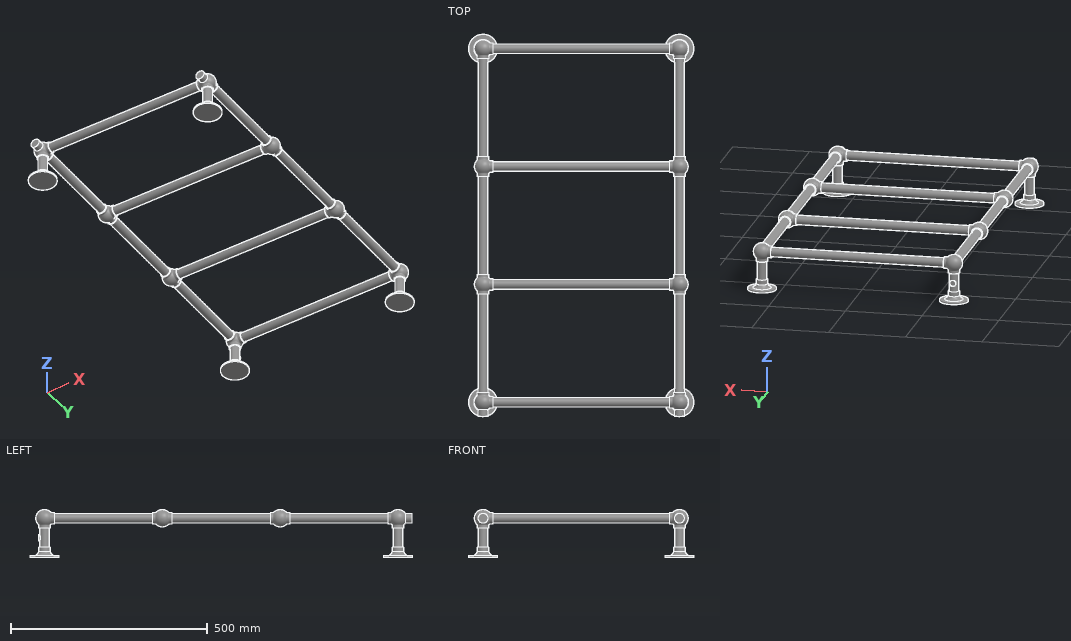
import cadquery as cq

FRAME_WIDTH = 500.0
RUNG_SPACING = 300.0
RUNG_COUNT = 4
AXIS_HEIGHT = 100.0

TUBE_RADIUS = 12.5
BALL_RADIUS = 22.5
COLLAR_RADIUS = 15.0
NECK_FILLET = 2.5
COLLAR_REACH = 25.0
STUB_REACH = 36.0

FLANGE_RADIUS = 37.0
FLANGE_THICKNESS = 5.0
FLANGE_EDGE_FILLET = 1.5
FLARE_FOOT_RADIUS = 23.5
FLARE_TOP = 15.0
FLARE_HOLLOW = 0.4
SOCKET_TOP = 27.0
SOCKET_FILLET = 2.0

BOSS_RADIUS = 8.0
BOSS_REACH = 15.0
BOSS_HEIGHT = 50.0

rail_xs = [-FRAME_WIDTH / 2, FRAME_WIDTH / 2]
rung_ys = [(i - (RUNG_COUNT - 1) / 2) * RUNG_SPACING for i in range(RUNG_COUNT)]
front_y = rung_ys[0]
back_y = rung_ys[-1]

LEFT_TO_RIGHT = cq.Vector(1, 0, 0)
FRONT_TO_BACK = cq.Vector(0, 1, 0)
UP = cq.Vector(0, 0, 1)


def rod(start, direction, length, radius):
    """Solid round bar from a start point along a unit direction."""
    return cq.Solid.makeCylinder(radius, length, start, direction)


def rails():
    length = back_y - front_y
    return [rod(cq.Vector(x, front_y, AXIS_HEIGHT), FRONT_TO_BACK, length, TUBE_RADIUS) for x in rail_xs]


def rungs():
    left_x = rail_xs[0]
    return [rod(cq.Vector(left_x, y, AXIS_HEIGHT), LEFT_TO_RIGHT, FRAME_WIDTH, TUBE_RADIUS) for y in rung_ys]


def joint(x, y):
    """Ball with a collar, blended in by a fillet, for every tube that it holds."""
    directions = [LEFT_TO_RIGHT if x < 0 else -LEFT_TO_RIGHT]
    if y > front_y:
        directions.append(-FRONT_TO_BACK)
    if y < back_y:
        directions.append(FRONT_TO_BACK)
    if y in (front_y, back_y):
        directions.append(-UP)

    body = cq.Workplane("XY").sphere(BALL_RADIUS)
    for direction in directions:
        body = body.union(cq.Workplane(rod(cq.Vector(), direction, COLLAR_REACH, COLLAR_RADIUS)))
    body = body.faces("%SPHERE").edges(cq.selectors.RadiusNthSelector(0)).fillet(NECK_FILLET)
    return body.val().translate(cq.Vector(x, y, AXIS_HEIGHT))


def foot(x, y):
    """Round flange with a concave flare rising to a leg socket."""
    flare_mid = (
        COLLAR_RADIUS + FLARE_HOLLOW * (FLARE_FOOT_RADIUS - COLLAR_RADIUS),
        FLANGE_THICKNESS + FLARE_HOLLOW * (FLARE_TOP - FLANGE_THICKNESS),
    )
    body = (
        cq.Workplane("XZ")
        .lineTo(FLANGE_RADIUS, 0)
        .lineTo(FLANGE_RADIUS, FLANGE_THICKNESS)
        .lineTo(FLARE_FOOT_RADIUS, FLANGE_THICKNESS)
        .threePointArc(flare_mid, (COLLAR_RADIUS, FLARE_TOP))
        .lineTo(COLLAR_RADIUS, SOCKET_TOP)
        .lineTo(0, SOCKET_TOP)
        .close()
        .revolve(360, (0, 0, 0), (0, 1, 0))
    )
    body = body.faces(">Z").edges().fillet(SOCKET_FILLET)
    flange_rim = cq.selectors.RadiusNthSelector(-1)
    body = body.edges(flange_rim).edges(">Z").fillet(FLANGE_EDGE_FILLET)
    return body.val().translate(cq.Vector(x, y, 0))


def leg(x, y):
    """Vertical tube under a corner ball, standing on a foot."""
    tube = rod(cq.Vector(x, y, 0), UP, AXIS_HEIGHT, TUBE_RADIUS)
    return [tube, foot(x, y)]


def leg_boss(x, y):
    """Round boss on the rear of a leg."""
    return rod(cq.Vector(x, y, BOSS_HEIGHT), FRONT_TO_BACK, BOSS_REACH, BOSS_RADIUS)


def stub(x):
    """Plain tube end sticking out in front of a front corner ball."""
    return rod(cq.Vector(x, front_y, AXIS_HEIGHT), -FRONT_TO_BACK, STUB_REACH, TUBE_RADIUS)


pieces = rails() + rungs()
pieces.append(leg_boss(rail_xs[0], back_y))
for x in rail_xs:
    pieces.append(stub(x))
    for y in rung_ys:
        pieces.append(joint(x, y))
    for y in (front_y, back_y):
        pieces += leg(x, y)

result = cq.Workplane(pieces[0].fuse(*pieces[1:]))